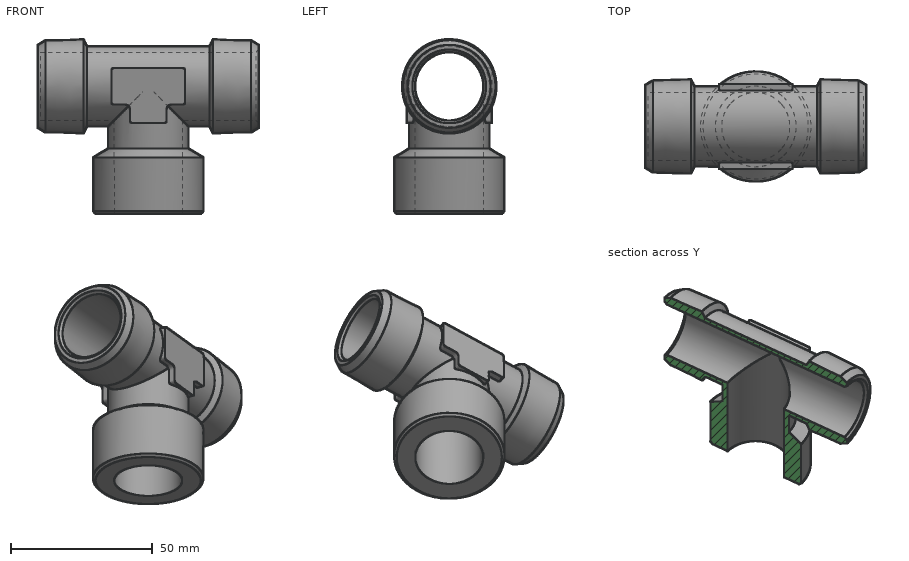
import cadquery as cq

run_length = 78.0
half_run = run_length / 2
tube_diameter = 28.5
tube_radius = tube_diameter / 2
bore_diameter = 24.0
bore_radius = bore_diameter / 2

collar_length = 17.4
collar_back_length = 1.25
collar_back_radius = 16.7
collar_front_radius = 16.3
end_chamfer_length = 2.7
end_face_radius = 14.7

mouth_radius = 13.0
seat_depth = mouth_radius - bore_radius

branch_bottom = -45.0
boss_radius = 19.5
boss_height = 20.0
shoulder_height = 3.1
boss_chamfer = 0.9
boss_top = branch_bottom + boss_height

pad_spacing = 30.0
pad_half_width = 13.0
pad_stem_half_width = pad_half_width / 2
pad_top = 6.5
pad_step = -pad_top
pad_bottom = 2 * pad_step
pad_outer_radius = 0.9
pad_inner_radius = 1.55
corner_margin = 0.1


def make_collar():
    """Collar at the +X end, revolved about the run axis."""
    root = half_run - collar_length
    profile = [
        (root, 0),
        (root, tube_radius),
        (root + collar_back_length, collar_back_radius),
        (half_run - end_chamfer_length, collar_front_radius),
        (half_run, end_face_radius),
        (half_run, 0),
    ]
    return cq.Workplane("XY").polyline(profile).close().revolve(360, (0, 0, 0), (1, 0, 0))


def make_seat():
    """Conical cutter that flares the bore at the +X mouth."""
    profile = [
        (half_run - seat_depth, 0),
        (half_run - seat_depth, bore_radius),
        (half_run, mouth_radius),
        (half_run, 0),
    ]
    return cq.Workplane("XY").polyline(profile).close().revolve(360, (0, 0, 0), (1, 0, 0))


def make_branch():
    """Neck, conical shoulder and boss, revolved about Z."""
    profile = [
        (0, 0),
        (tube_radius, 0),
        (tube_radius, boss_top + shoulder_height),
        (boss_radius, boss_top),
        (boss_radius, branch_bottom + boss_chamfer),
        (boss_radius - boss_chamfer, branch_bottom),
        (0, branch_bottom),
    ]
    return cq.Workplane("XZ").polyline(profile).close().revolve(360, (0, 0, 0), (0, 1, 0))


def make_pads():
    """T-shaped plate through the body; its two outer faces form the pads."""
    outline = [
        (-pad_half_width, pad_top),
        (pad_half_width, pad_top),
        (pad_half_width, pad_step),
        (pad_stem_half_width, pad_step),
        (pad_stem_half_width, pad_bottom),
        (-pad_stem_half_width, pad_bottom),
        (-pad_stem_half_width, pad_step),
        (-pad_half_width, pad_step),
    ]
    plate = cq.Workplane("XZ").polyline(outline).close().extrude(pad_spacing / 2, both=True)
    inner_corners = cq.selectors.BoxSelector(
        (-pad_stem_half_width - corner_margin, -pad_spacing, pad_step - corner_margin),
        (pad_stem_half_width + corner_margin, pad_spacing, pad_step + corner_margin),
    )
    thickness_edges = cq.selectors.ParallelDirSelector(cq.Vector(0, 1, 0))
    outer_corners = cq.selectors.SubtractSelector(thickness_edges, inner_corners)
    plate = plate.edges(outer_corners).fillet(pad_outer_radius)
    return plate.edges("|Y").edges(inner_corners).fillet(pad_inner_radius)


collar = make_collar()
seat = make_seat()
body = cq.Workplane("YZ").circle(tube_radius).extrude(half_run, both=True)
body = body.union(make_branch()).union(make_pads())
body = body.union(collar).union(collar.mirror("YZ"))

run_bore = cq.Workplane("YZ").circle(bore_radius).extrude(half_run, both=True)
branch_bore = cq.Workplane("XY").circle(bore_radius).extrude(branch_bottom)
result = body.cut(run_bore.union(branch_bore))
result = result.cut(seat).cut(seat.mirror("YZ"))